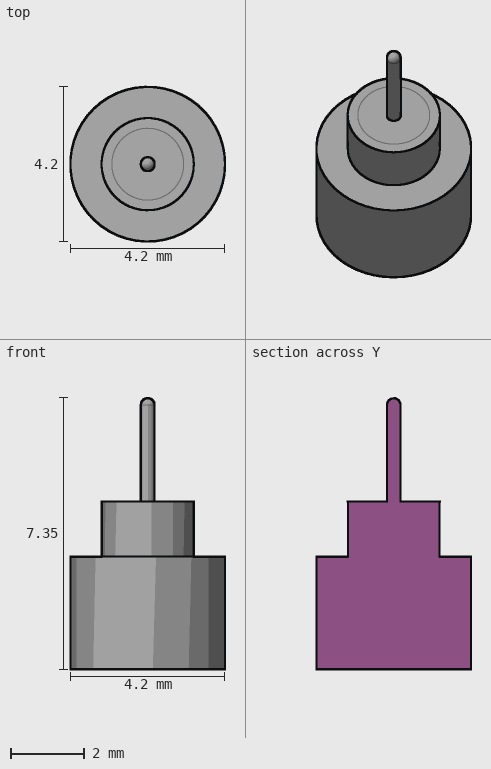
import cadquery as cq

body_diameter = 4.2
body_height = 3.05
collar_diameter = 2.5
collar_height = 1.5
bead_diameter = 1.95
pin_diameter = 0.38
pin_length = 2.8

collar_top = body_height + collar_height
pin_radius = pin_diameter / 2


def cylinder(diameter, base_z, height):
    """Upright cylinder centred on the Z axis."""
    return cq.Workplane("XY", origin=(0, 0, base_z)).circle(diameter / 2).extrude(height)


def make_shell():
    """Wide body with a narrower collar on top."""
    body = cylinder(body_diameter, 0, body_height)
    collar = cylinder(collar_diameter, body_height, collar_height)
    return body.union(collar)


def make_bead():
    """Insulating bead inside the collar, flush with the collar's top face."""
    return cylinder(bead_diameter, body_height, collar_height)


def make_pin():
    """Contact pin standing on the bead, ending in a hemispherical tip."""
    shank_length = pin_length - pin_radius
    shank = cylinder(pin_diameter, collar_top, shank_length)
    tip = cq.Workplane("XY", origin=(0, 0, collar_top + shank_length)).sphere(pin_radius)
    return shank.union(tip)


result = make_shell().union(make_pin()).union(make_bead(), clean=False)